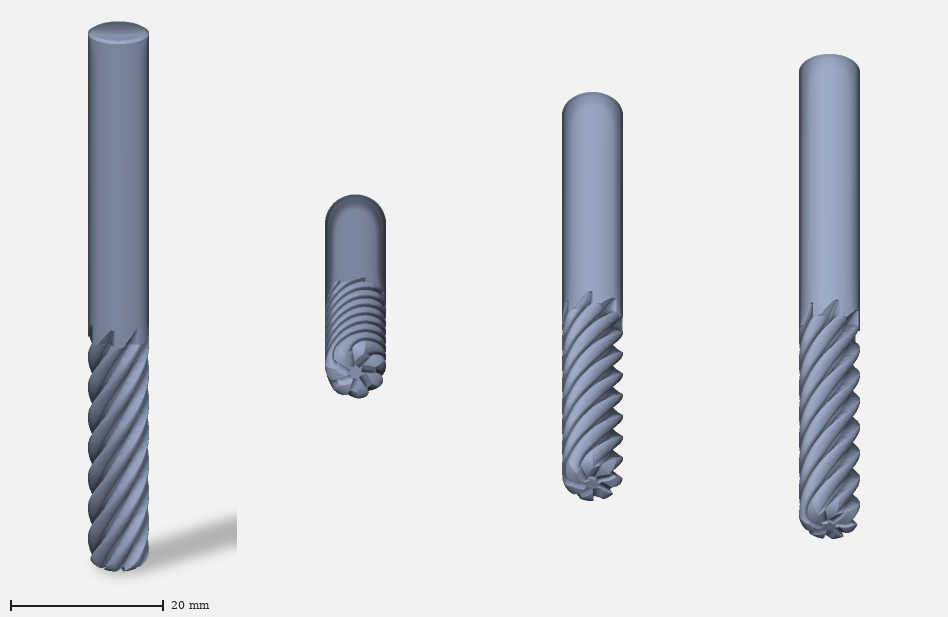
import math

import cadquery as cq

LENGTH = 75
DIAMETER = 8.0
RADIUS = DIAMETER / 2
CUT_LENGTH = 32.0
NECK_TOP = 39

CHAMFER_WIDTH = 0.45
CHAMFER_HEIGHT = 0.3
CORNER_RADIUS = 2.0

FLUTES = 7
TOOTH_ANGLE = 360 / FLUTES
LEAD = 29.7
HELIX_TURN = 360 * CUT_LENGTH / LEAD
TOP_EDGE_ANGLE = 256
TIP_EDGE_ANGLE = TOP_EDGE_ANGLE - HELIX_TURN

MARGIN_ANGLE = 5.5
BACK_ANGLE = 15.5
BACK_RADIUS = 3.75
FLOOR_START_ANGLE = 28
FLOOR_END_ANGLE = 38
FLOOR_RADIUS = 2.7

GASH_DEPTH = 0.9
GASH_WIDTH = 1.1
GASH_START_RADIUS = 0.75

RUNOUT_HEIGHT = 2.4
RUNOUT_END_ANGLE = 8
RUNOUT_END_RADIUS = 3.7
RUNOUT_END_STEP = RUNOUT_END_ANGLE / 3

OVERCUT = 0.75


def polar(radius, angle):
    """Point at a radius and an angle in degrees."""
    return (radius * math.cos(math.radians(angle)), radius * math.sin(math.radians(angle)))


def at_each_tooth(shape):
    """Copies of a shape, turned to every tooth."""
    return [shape.rotate((0, 0, 0), (0, 0, 1), tooth * TOOTH_ANGLE) for tooth in range(FLUTES)]


def tooth_section(first_edge):
    """Section through all teeth: margin, rounded back, flute floor and rake face in turn."""
    section = cq.Workplane("XY").moveTo(*polar(RADIUS, first_edge))
    for tooth in range(FLUTES):
        edge = first_edge + tooth * TOOTH_ANGLE
        section = (
            section.threePointArc(polar(RADIUS, edge + MARGIN_ANGLE / 2), polar(RADIUS, edge + MARGIN_ANGLE))
            .threePointArc(
                polar(BACK_RADIUS, edge + BACK_ANGLE), polar(FLOOR_RADIUS, edge + FLOOR_START_ANGLE)
            )
            .lineTo(*polar(FLOOR_RADIUS, edge + FLOOR_END_ANGLE))
        )
        if tooth < FLUTES - 1:
            section = section.lineTo(*polar(RADIUS, edge + TOOTH_ANGLE))
    return section.close()


def corner_ring():
    """Ring outside the rounded corner of the tip."""
    flat_radius = RADIUS - CORNER_RADIUS
    diagonal = CORNER_RADIUS * math.sqrt(0.5)
    return (
        cq.Workplane("XZ")
        .moveTo(flat_radius, 0)
        .threePointArc((flat_radius + diagonal, CORNER_RADIUS - diagonal), (RADIUS, CORNER_RADIUS))
        .lineTo(RADIUS + OVERCUT, CORNER_RADIUS)
        .lineTo(RADIUS + OVERCUT, -OVERCUT)
        .lineTo(flat_radius, -OVERCUT)
        .close()
        .revolve(360, (0, 0, 0), (0, 1, 0))
    )


def end_gash():
    """Radial groove with an upright wall at the cutting edge and a floor rising away from it."""
    return (
        cq.Workplane("YZ")
        .workplane(offset=GASH_START_RADIUS)
        .polyline([(0, -OVERCUT), (0, GASH_DEPTH), (-GASH_WIDTH, 0), (-GASH_WIDTH, -OVERCUT)])
        .close()
        .extrude(RADIUS + OVERCUT - GASH_START_RADIUS)
        .rotate((0, 0, 0), (0, 0, 1), TIP_EDGE_ANGLE)
    )


def make_cutter():
    """Fluted cutter with a rounded corner and gashed end face."""
    cutter = tooth_section(TIP_EDGE_ANGLE).twistExtrude(CUT_LENGTH, HELIX_TURN)
    cutter = cutter.cut(corner_ring())
    for gash in at_each_tooth(end_gash()):
        cutter = cutter.cut(gash)
    return cutter


def flute_runout():
    """One flute, open to the outside, narrowing upwards from its full section."""
    outside = RADIUS + OVERCUT
    edge = TOP_EDGE_ANGLE
    previous_edge = edge - TOOTH_ANGLE
    heel = previous_edge + BACK_ANGLE
    end_heel = edge - RUNOUT_END_ANGLE
    full_section = [
        polar(outside, edge),
        polar(RADIUS, edge),
        polar(FLOOR_RADIUS, previous_edge + FLOOR_END_ANGLE),
        polar(FLOOR_RADIUS, previous_edge + FLOOR_START_ANGLE),
        polar(RADIUS, heel),
        polar(outside, heel),
    ]
    end_section = [
        polar(outside, edge),
        polar(RADIUS, edge),
        polar(RUNOUT_END_RADIUS, edge - RUNOUT_END_STEP),
        polar(RUNOUT_END_RADIUS, end_heel + RUNOUT_END_STEP),
        polar(RADIUS, end_heel),
        polar(outside, end_heel),
    ]
    return (
        cq.Workplane("XY")
        .workplane(offset=CUT_LENGTH)
        .polyline(full_section)
        .close()
        .workplane(offset=RUNOUT_HEIGHT)
        .polyline(end_section)
        .close()
        .loft(ruled=True)
    )


def make_shank():
    """Turned shank and neck, kept as two cylindrical faces that meet at the top of the neck."""
    shank = (
        cq.Workplane("YZ")
        .moveTo(0, CUT_LENGTH)
        .lineTo(-RADIUS, CUT_LENGTH)
        .lineTo(-RADIUS, NECK_TOP)
        .lineTo(-RADIUS, LENGTH - CHAMFER_HEIGHT)
        .lineTo(CHAMFER_WIDTH - RADIUS, LENGTH)
        .lineTo(0, LENGTH)
        .close()
        .revolve(360, (0, 0, 0), (0, 1, 0), clean=False)
    )
    for runout in at_each_tooth(flute_runout()):
        shank = shank.cut(runout, clean=False)
    return shank


cutter = make_cutter()
shank = make_shank()
result = cq.Compound.makeCompound([*cutter.solids().vals(), *shank.solids().vals()])